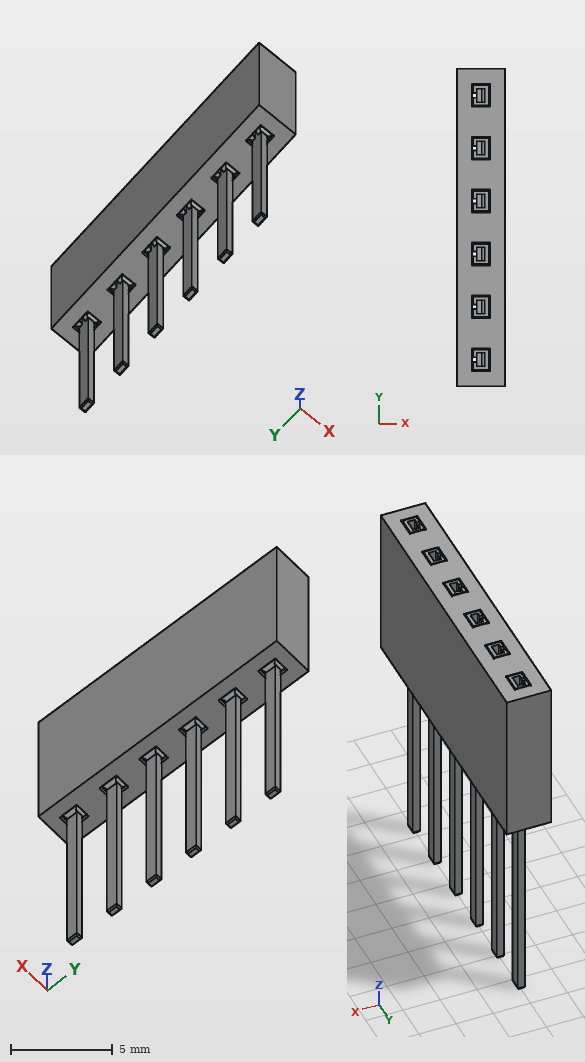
import cadquery as cq

total_height = 19.65
housing_width = 2.4
housing_length = 15.7
housing_height = 8.5
housing_bottom = total_height - housing_height

contact_count = 6
contact_pitch = 2.61

socket_width = 0.88
socket_length = 1.12
socket_clearance = 0.05

pin_width = 0.4
pin_offset = -0.02
pin_length = 0.67
tip_height = 0.12
tip_inset = 0.069
box_width = socket_width - 2 * socket_clearance
box_length = socket_length - 2 * socket_clearance
flare_drop = 0.1
flare_height = 0.25
flare_bottom = housing_bottom - flare_drop
box_bottom = flare_bottom + flare_height

cavity_depth = 2.35
cavity_floor = total_height - cavity_depth
ramp_width = 0.14
ramp_rise = 0.05
seam_length = 0.22

contact_positions = [
    (0, (i - (contact_count - 1) / 2) * contact_pitch) for i in range(contact_count)
]


def make_housing():
    """Rectangular block with a row of through sockets."""
    block = cq.Workplane("XY", origin=(0, 0, housing_bottom)).rect(housing_width, housing_length)
    block = block.extrude(housing_height)
    sockets = (
        cq.Workplane("XY", origin=(0, 0, housing_bottom))
        .pushPoints(contact_positions)
        .rect(socket_width, socket_length)
        .extrude(housing_height)
    )
    return block.cut(sockets)


def contact_profile(plane, pin_center, pin_size, box_size, widening_start, depth):
    """Silhouette of pin, flare and box, extruded to both sides of the plane."""
    pin_left = pin_center - pin_size / 2
    pin_right = pin_center + pin_size / 2
    half_box = box_size / 2
    outline = [
        (pin_left + tip_inset, 0),
        (pin_right - tip_inset, 0),
        (pin_right, tip_height),
        (pin_right, widening_start),
        (half_box, box_bottom),
        (half_box, total_height),
        (-half_box, total_height),
        (-half_box, box_bottom),
        (pin_left, widening_start),
        (pin_left, tip_height),
    ]
    return cq.Workplane(plane).polyline(outline).close().extrude(depth / 2, both=True)


def make_cavity():
    """Opening as wide as the pin, with a ramp along the +X side of its floor."""
    opening_left = pin_offset - pin_width / 2
    opening_right = pin_offset + pin_width / 2
    outline = [
        (opening_left, total_height),
        (opening_left, cavity_floor),
        (opening_right - ramp_width, cavity_floor),
        (opening_right, cavity_floor + ramp_rise),
        (opening_right, total_height),
    ]
    return cq.Workplane("XZ").polyline(outline).close().extrude(pin_length / 2, both=True)


def make_seam():
    """Slot that splits the -X wall of the box and its flare, down to the pin face."""
    seam_depth = box_width / 2 + pin_offset - pin_width / 2
    seam_height = total_height - flare_bottom
    slot = cq.Workplane("XY", origin=(-box_width / 2, 0, flare_bottom))
    return slot.box(seam_depth, seam_length, seam_height, centered=(False, True, False))


def make_contact():
    """Pin flaring into a receptacle box, with the box centred on the Z axis."""
    front = contact_profile("XZ", pin_offset, pin_width, box_width, flare_bottom, box_length)
    side = contact_profile("YZ", 0, pin_length, box_length, housing_bottom, box_width)
    return front.intersect(side).cut(make_cavity()).cut(make_seam())


housing = make_housing()
contact = make_contact()
contacts = [contact.translate((x, y, 0)) for x, y in contact_positions]

result = cq.Compound.makeCompound([housing.val(), *[c.val() for c in contacts]])